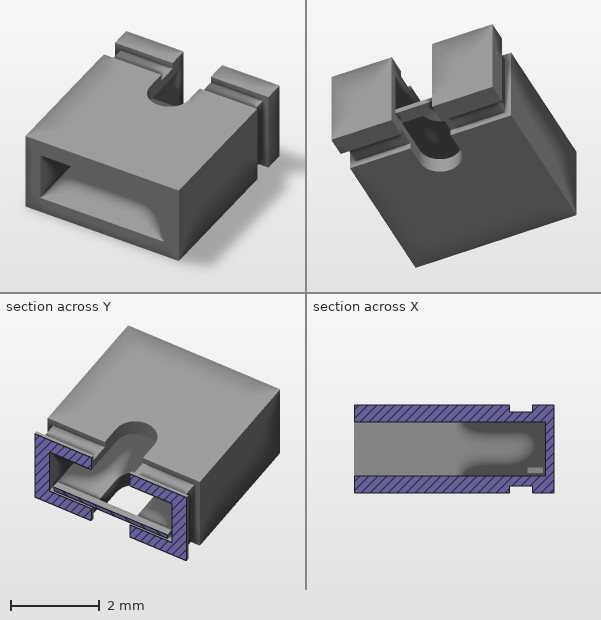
import cadquery as cq

HOUSING_WIDTH = 4.0
HOUSING_LENGTH = 4.5
HOUSING_HEIGHT = 2.0
BACK_Y = HOUSING_LENGTH / 2

SIDE_WALL = 0.395
BACK_WALL = 0.2
CAVITY_WIDTH = HOUSING_WIDTH - 2 * SIDE_WALL
CAVITY_HEIGHT = HOUSING_HEIGHT - 2 * SIDE_WALL
CAVITY_LENGTH = HOUSING_LENGTH - BACK_WALL

FLANGE_LENGTH = 0.5
GROOVE_LENGTH = 0.5
GROOVE_DEPTH = 0.15
GROOVE_DEPTH_Z = 0.16

SLOT_WIDTH = 1.0
SLOT_LENGTH = 2.0

BAR_WIDTH = 3.0
BAR_LENGTH = 0.34
BAR_THICKNESS = 0.125
BAR_BACK_INSET = 0.25
BAR_FLOOR_GAP = 0.055


def box_from_back(width, length, height, back_y):
    """Box centred on X and Z that runs toward -Y from back_y."""
    return cq.Workplane("XY").box(width, length, height).translate((0, back_y - length / 2, 0))


def make_groove():
    """Rectangular ring that cuts the groove around the four outer faces."""
    groove_back = BACK_Y - FLANGE_LENGTH
    outside = box_from_back(HOUSING_WIDTH, GROOVE_LENGTH, HOUSING_HEIGHT, groove_back)
    core = box_from_back(
        HOUSING_WIDTH - 2 * GROOVE_DEPTH,
        GROOVE_LENGTH,
        HOUSING_HEIGHT - 2 * GROOVE_DEPTH_Z,
        groove_back,
    )
    return outside.cut(core)


def make_slot():
    """Vertical slot with a half-round front end, open at the back."""
    radius = SLOT_WIDTH / 2
    slot_end_y = BACK_Y - SLOT_LENGTH
    return (
        cq.Workplane("XY")
        .moveTo(-radius, BACK_Y)
        .lineTo(-radius, slot_end_y + radius)
        .threePointArc((0, slot_end_y), (radius, slot_end_y + radius))
        .lineTo(radius, BACK_Y)
        .close()
        .extrude(HOUSING_HEIGHT / 2, both=True)
    )


def make_housing():
    block = box_from_back(HOUSING_WIDTH, HOUSING_LENGTH, HOUSING_HEIGHT, BACK_Y)
    cavity = box_from_back(CAVITY_WIDTH, CAVITY_LENGTH, CAVITY_HEIGHT, BACK_Y - BACK_WALL)
    return block.cut(make_groove()).cut(cavity).cut(make_slot())


def make_contact_bar():
    bar_center_z = -CAVITY_HEIGHT / 2 + BAR_FLOOR_GAP + BAR_THICKNESS / 2
    bar = box_from_back(BAR_WIDTH, BAR_LENGTH, BAR_THICKNESS, BACK_Y - BAR_BACK_INSET)
    return bar.translate((0, 0, bar_center_z))


housing = make_housing()
contact_bar = make_contact_bar()

result = cq.Compound.makeCompound([housing.val(), contact_bar.val()])